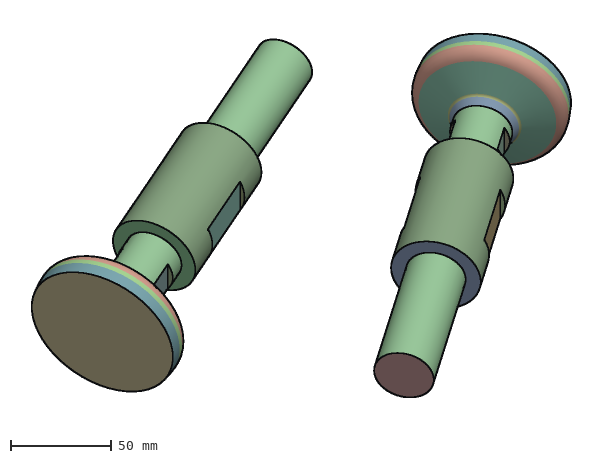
import cadquery as cq
import math

TOTAL_LENGTH = 206.5

SPINDLE_RADIUS = 15.3
SPINDLE_ACROSS_FLATS = 25.0
SPINDLE_FLAT_START = 33.2
SPINDLE_FLAT_LENGTH = 15.5

FOOT_RADIUS = 80.0 / 2
FOOT_FACE_RADIUS = 39.2
RIM_START = 6.2
RIM_END = 8.9
SHOULDER_RADIUS = 7.5
SLOPE_ANGLE = 21.0
SLOPE_END = 22.0
NECK_START = 23.1
NECK_START_RADIUS = 17.8
NECK_END = 27.0

SLEEVE_RADIUS = 23.0
SLEEVE_START = 58.6
SLEEVE_LENGTH = 75.0
SLEEVE_ACROSS_FLATS = 40.9
SLEEVE_FLAT_LENGTH = 36.3


def cylinder_along_y(radius, start, length):
    """Solid cylinder on the Y axis."""
    return cq.Workplane("XZ", origin=(0, start, 0)).circle(radius).extrude(-length)


def cut_wrench_flats(body, radius, across_flats, start, length):
    """Cut two parallel flats, facing -X and +X, into a round body."""
    for side in (-1, 1):
        cutter = cq.Workplane("XY").box(radius, length, 2 * radius)
        cutter = cutter.translate((side * (across_flats + radius) / 2, start + length / 2, 0))
        body = body.cut(cutter)
    return body


def make_spindle():
    """Foot plate and shaft revolved as one profile, with wrench flats on the shaft."""
    slope = math.radians(SLOPE_ANGLE)
    shoulder_center = FOOT_RADIUS - SHOULDER_RADIUS

    def shoulder_point(angle):
        return (
            shoulder_center + SHOULDER_RADIUS * math.cos(angle),
            RIM_END + SHOULDER_RADIUS * math.sin(angle),
        )

    shoulder_sweep = math.pi / 2 - slope
    shoulder_end = shoulder_point(shoulder_sweep)
    slope_end_radius = shoulder_end[0] - (SLOPE_END - shoulder_end[1]) / math.tan(slope)

    profile = (
        cq.Workplane("XY")
        .lineTo(FOOT_FACE_RADIUS, 0)
        .lineTo(FOOT_RADIUS, RIM_START)
        .lineTo(FOOT_RADIUS, RIM_END)
        .threePointArc(shoulder_point(shoulder_sweep / 2), shoulder_end)
        .lineTo(slope_end_radius, SLOPE_END)
        .tangentArcPoint((NECK_START_RADIUS, NECK_START), relative=False)
        .lineTo(SPINDLE_RADIUS, NECK_END)
        .lineTo(SPINDLE_RADIUS, TOTAL_LENGTH)
        .lineTo(0, TOTAL_LENGTH)
        .close()
    )
    spindle = profile.revolve(360, (0, 0, 0), (0, 1, 0))
    return cut_wrench_flats(
        spindle, SPINDLE_RADIUS, SPINDLE_ACROSS_FLATS, SPINDLE_FLAT_START, SPINDLE_FLAT_LENGTH
    )


def make_sleeve():
    """Round sleeve around the shaft, with wrench flats at mid-length."""
    sleeve = cylinder_along_y(SLEEVE_RADIUS, SLEEVE_START, SLEEVE_LENGTH)
    bore = cylinder_along_y(SPINDLE_RADIUS, SLEEVE_START, SLEEVE_LENGTH)
    flat_start = SLEEVE_START + (SLEEVE_LENGTH - SLEEVE_FLAT_LENGTH) / 2
    return cut_wrench_flats(
        sleeve.cut(bore), SLEEVE_RADIUS, SLEEVE_ACROSS_FLATS, flat_start, SLEEVE_FLAT_LENGTH
    )


spindle = make_spindle()
sleeve = make_sleeve()
result = cq.Compound.makeCompound([spindle.val(), sleeve.val()])